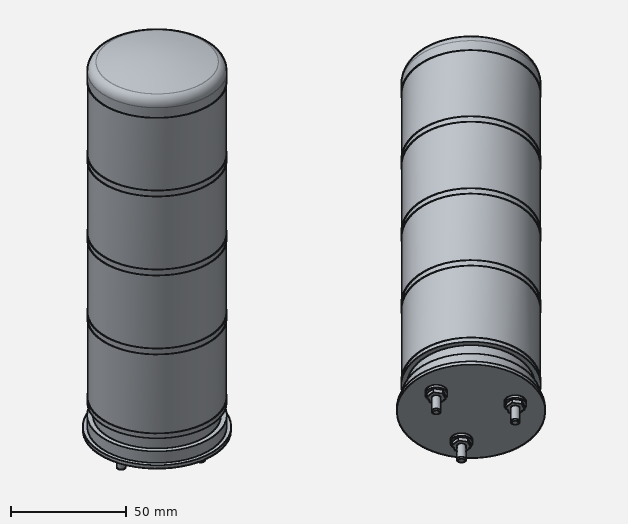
import cadquery as cq
import math

total_height = 200.8

flange_bottom = 11.5
flange_thickness = 1.8
flange_diameter = 64.0
base_top = 19.0
neck_top = 25.7
neck_radius = 27.7

tier_radius = 30.0
band_radius = 30.1
bottom_band_height = 2.5
band_height = 3.0
first_band_bottom = 68.0
band_pitch = 40.0
band_count = 3

cap_bottom = 187.7
dome_radius = 116.5
cap_fillet = 4.8

stud_count = 3
stud_circle_radius = 20.0
first_stud_angle = -90
stud_radius = 2.0
stud_tip_chamfer = 0.6
washer_radius = 4.8
washer_thickness = 1.5
nut_height = 2.0
nut_across_corners = 8.2


def disc(radius, bottom, top):
    return cq.Workplane("XY").workplane(offset=bottom).circle(radius).extrude(top - bottom)


def make_base():
    flange_top = flange_bottom + flange_thickness
    flange = disc(flange_diameter / 2, flange_bottom, flange_top)
    ring = disc(band_radius, flange_top, base_top)
    neck = disc(neck_radius, base_top, neck_top)
    return flange.union(ring).union(neck)


def make_tiers():
    tiers = disc(tier_radius, neck_top, cap_bottom)
    tiers = tiers.union(disc(band_radius, neck_top, neck_top + bottom_band_height))
    for index in range(band_count):
        bottom = first_band_bottom + index * band_pitch
        tiers = tiers.union(disc(band_radius, bottom, bottom + band_height))
    return tiers


def make_cap():
    dome_center_z = total_height - dome_radius
    fillet_center_r = band_radius - cap_fillet
    dome_angle = math.asin(fillet_center_r / (dome_radius - cap_fillet))
    fillet_center_z = dome_center_z + (dome_radius - cap_fillet) * math.cos(dome_angle)
    middle_angle = (dome_angle + math.pi / 2) / 2

    wall_top = (band_radius, fillet_center_z)
    fillet_middle = (
        fillet_center_r + cap_fillet * math.sin(middle_angle),
        fillet_center_z + cap_fillet * math.cos(middle_angle),
    )
    dome_edge = (
        dome_radius * math.sin(dome_angle),
        dome_center_z + dome_radius * math.cos(dome_angle),
    )
    dome_middle = (
        dome_radius * math.sin(dome_angle / 2),
        dome_center_z + dome_radius * math.cos(dome_angle / 2),
    )
    return (
        cq.Workplane("XZ")
        .moveTo(0, cap_bottom)
        .lineTo(band_radius, cap_bottom)
        .lineTo(*wall_top)
        .threePointArc(fillet_middle, dome_edge)
        .threePointArc(dome_middle, (0, total_height))
        .close()
        .revolve(360, (0, 0, 0), (0, 1, 0))
    )


def make_stud(x, y):
    washer_bottom = flange_bottom - washer_thickness
    nut_bottom = washer_bottom - nut_height
    stud = disc(stud_radius, 0, flange_bottom).faces("<Z").chamfer(stud_tip_chamfer)
    washer = disc(washer_radius, washer_bottom, flange_bottom)
    nut = cq.Workplane("XY").workplane(offset=nut_bottom).polygon(6, nut_across_corners).extrude(nut_height)
    return stud.union(washer).union(nut).translate((x, y, 0))


result = make_base().union(make_tiers()).union(make_cap())
for index in range(stud_count):
    angle = math.radians(first_stud_angle + index * 360 / stud_count)
    stud_x = stud_circle_radius * math.cos(angle)
    stud_y = stud_circle_radius * math.sin(angle)
    result = result.union(make_stud(stud_x, stud_y))